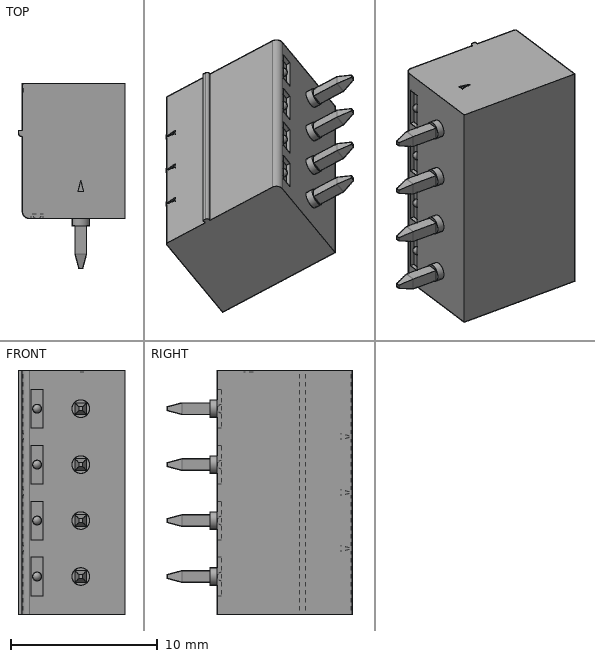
import cadquery as cq

height = 16.63
width = 7.0
depth = 9.2
corner_radius = 0.5

rib_height = 0.25
rib_front = 5.59
rib_back = 6.0
rib_radius = 0.2

pin_count = 4
pitch = 3.8
pin_setback = 3.01
pin_width = 0.8
pin_length = 3.41
tip_length = 1.0
tip_width = 0.27
collar_diameter = 1.2
collar_length = 0.5

window_x = 1.26
window_width = 0.8
window_height = 2.63
window_depth = 0.3
contact_diameter = 0.6

arrow_width = 0.4
arrow_length = 0.76
arrow_depth = 0.1
top_arrow_base = 1.83

bevel_length = 0.1
bevel_depth = 0.07

left_face = rib_height
pin_x = left_face + width - pin_setback
first_pin_z = (height - (pin_count - 1) * pitch) / 2
pin_levels = [first_pin_z + i * pitch for i in range(pin_count)]
arrow_levels = [z + pitch / 2 for z in pin_levels[:-1]]


def housing():
    block = cq.Workplane("XY").box(width, depth, height, centered=False)
    return block.edges("|Z and <X and <Y").fillet(corner_radius).translate((left_face, 0, 0))


def rib():
    bar = cq.Workplane("XY").box(2 * rib_height, rib_back - rib_front, height, centered=False)
    return bar.edges("|Z and <X and <Y").fillet(rib_radius).translate((0, rib_front, 0))


def back_bevel():
    corner = [
        (left_face, depth),
        (left_face + bevel_depth, depth),
        (left_face, depth - bevel_length),
    ]
    strip = cq.Workplane("XY").polyline(corner).close().extrude(height)
    for z in arrow_levels:
        land = cq.Workplane("XY").box(2 * bevel_depth, 2 * bevel_length, arrow_width)
        strip = strip.cut(land.translate((left_face, depth, z)))
    return strip


def window(z):
    box = cq.Workplane("XY").box(window_width, 2 * window_depth, window_height)
    return box.translate((window_x, 0, z))


def contact(z):
    return cq.Workplane("XY").sphere(contact_diameter / 2).translate((window_x, window_depth, z))


def pin(z):
    base = cq.Workplane("XZ", origin=(pin_x, 0, z))
    shank_length = pin_length - tip_length
    collar = base.circle(collar_diameter / 2).extrude(collar_length)
    shank = base.rect(pin_width, pin_width).extrude(shank_length)
    tip = (
        base.workplane(offset=shank_length)
        .rect(pin_width, pin_width)
        .workplane(offset=tip_length)
        .rect(tip_width, tip_width)
        .loft()
    )
    return collar.union(shank).union(tip)


def top_arrow():
    outline = [
        (pin_x - arrow_width / 2, top_arrow_base),
        (pin_x + arrow_width / 2, top_arrow_base),
        (pin_x, top_arrow_base + arrow_length),
    ]
    plane = cq.Workplane("XY", origin=(0, 0, height))
    return plane.polyline(outline).close().extrude(-arrow_depth)


def side_arrow(z):
    arrow_base = depth - arrow_length
    outline = [
        (depth, z),
        (arrow_base, z - arrow_width / 2),
        (arrow_base, z + arrow_width / 2),
    ]
    plane = cq.Workplane("YZ", origin=(left_face, 0, 0))
    return plane.polyline(outline).close().extrude(arrow_depth)


result = housing().union(rib()).cut(back_bevel()).cut(top_arrow())
for level in arrow_levels:
    result = result.cut(side_arrow(level))
for level in pin_levels:
    result = result.cut(window(level)).union(contact(level)).union(pin(level))